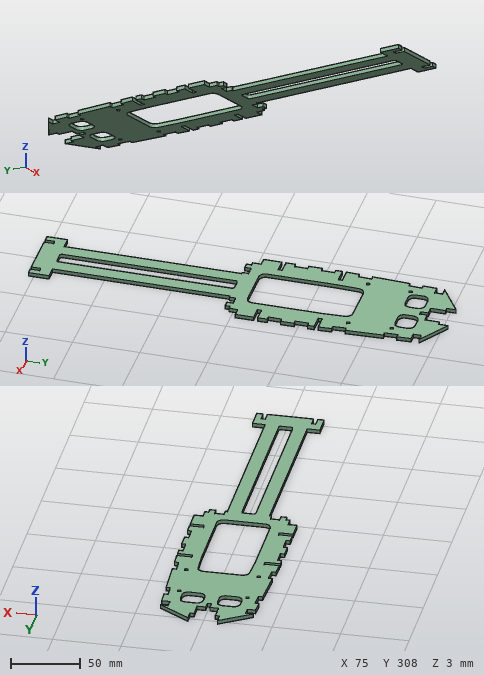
import cadquery as cq

thickness = 3.0
length = 308.0
top_y = length / 2
foot_y = -length / 2
overshoot = 3.0

body_width = 75.0
body_half_width = body_width / 2
body_bottom_y = 3.5
taper_start_y = 63.5
head_width = 68.0
head_half_width = head_width / 2
head_y = 139.0
taper = (body_half_width - head_half_width) / (head_y - taper_start_y)

ear_inner_x = 10.8
ear_step_y = 147.0
gap_half_width = ear_inner_x - thickness
gap_floor_y = 135.8
nose_slot_floor_y = 130.3
ear_notch_x = 28.3
ear_notch_bottom_y = 133.0

notch_length = 10.0
notch_tops = (122.5, 84.7, 57.0, 37.0)

side_slots = ((taper_start_y, 11.0), (18.5, 10.2))

lower_step_x = 31.0
lower_step_y = -3.0
tab_outer_x = 28.3
tab_inner_x = 23.7
tab_bottom_y = -6.8
tab_gap_y = -2.2
tab_gap_inner_x = 17.0

stem_half_width = 15.5
stem_slot_width = 10.2
stem_slot_radius = 1.5
foot_top_y = -138.5
foot_half_width = 24.5
foot_slot_inner_x = 17.0
foot_slot_top_y = -147.0

window_width = 39.0
window_bottom_y = 6.2
window_top_y = 84.0
window_radius = 5.0

eye_inner_x = 5.2
eye_outer_x = 22.0
eye_bottom_y = 116.5
eye_top_y = 131.2
eye_radius = 4.5

hole_diameter = 2.5
hole_centres = ((25.0, 116.0), (26.5, window_top_y))


def narrowing(y):
    """Amount by which the tapered sides have moved inward at height y."""
    return taper * max(0.0, y - taper_start_y)


def side_x(y):
    return body_half_width - narrowing(y)


def mirrored(points):
    """Close a right-hand half outline with its mirror image."""
    return points + [(-x, y) for x, y in reversed(points)]


def prism(points):
    return cq.Workplane("XY").polyline(points).close().extrude(thickness)


def block(x_min, x_max, y_min, y_max):
    return prism([(x_min, y_min), (x_max, y_min), (x_max, y_max), (x_min, y_max)])


def both_sides(cutter):
    return cutter.union(cutter.mirror("YZ"))


def plate():
    right_half = [
        (foot_half_width, foot_y),
        (foot_half_width, foot_top_y),
        (stem_half_width, foot_top_y),
        (stem_half_width, tab_bottom_y),
        (tab_gap_inner_x, tab_bottom_y),
        (tab_gap_inner_x, tab_gap_y),
        (tab_inner_x, tab_gap_y),
        (tab_inner_x, tab_bottom_y),
        (tab_outer_x, tab_bottom_y),
        (tab_outer_x, lower_step_y),
        (lower_step_x, lower_step_y),
        (lower_step_x, body_bottom_y),
        (body_half_width, body_bottom_y),
        (body_half_width, taper_start_y),
        (side_x(ear_notch_bottom_y), ear_notch_bottom_y),
        (ear_notch_x, ear_notch_bottom_y),
        (ear_notch_x, head_y),
        (head_half_width, head_y),
        (ear_inner_x, top_y),
        (ear_inner_x, ear_step_y),
        (gap_half_width, ear_step_y),
        (gap_half_width, gap_floor_y),
        (thickness / 2, gap_floor_y),
        (thickness / 2, nose_slot_floor_y),
    ]
    return prism(mirrored(right_half))


def side_notch(notch_top):
    notch_bottom = notch_top - notch_length
    return prism([
        (side_x(notch_bottom) - thickness, notch_bottom),
        (side_x(notch_bottom) + overshoot, notch_bottom),
        (side_x(notch_top) + overshoot, notch_top),
        (side_x(notch_top) - thickness, notch_top),
    ])


def side_slot(centre_y, depth):
    return block(
        body_half_width - depth,
        body_half_width + overshoot,
        centre_y - thickness / 2,
        centre_y + thickness / 2,
    )


def foot_slot():
    return block(foot_slot_inner_x, foot_slot_inner_x + thickness, foot_y - overshoot, foot_slot_top_y)


def window():
    half_width = window_width / 2
    right_half = [
        (half_width, window_bottom_y),
        (half_width, taper_start_y),
        (half_width - narrowing(window_top_y), window_top_y),
    ]
    return (
        prism(mirrored(right_half))
        .edges("|Z").edges("<Y or >Y").fillet(window_radius)
    )


def eye():
    return block(eye_inner_x, eye_outer_x, eye_bottom_y, eye_top_y).edges("|Z").fillet(eye_radius)


def stem_slot():
    half_width = stem_slot_width / 2
    return (
        block(-half_width, half_width, foot_top_y, tab_bottom_y)
        .edges("|Z").fillet(stem_slot_radius)
    )


def round_holes():
    return cq.Workplane("XY").pushPoints(hole_centres).circle(hole_diameter / 2).extrude(thickness)


result = plate().cut(window()).cut(stem_slot())
for notch_top in notch_tops:
    result = result.cut(both_sides(side_notch(notch_top)))
for centre_y, depth in side_slots:
    result = result.cut(both_sides(side_slot(centre_y, depth)))
for cutter in (foot_slot(), eye(), round_holes()):
    result = result.cut(both_sides(cutter))